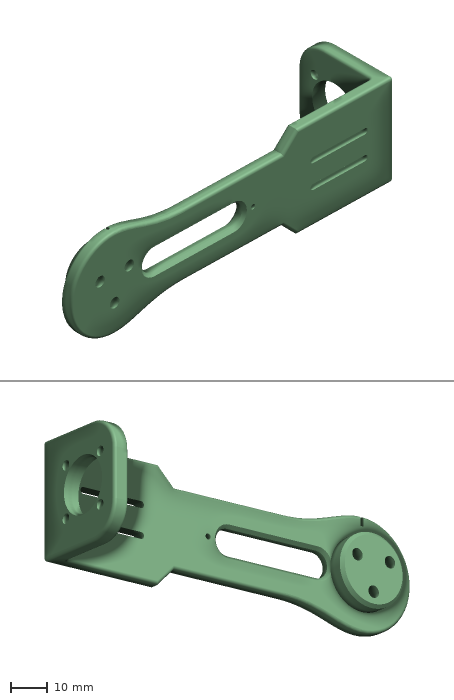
import cadquery as cq
import math


arm_thickness = 4.0
head_radius = 17.0
head_to_back = 107.6
wide_height = 35.0
wide_length = 37.1
neck_height = 23.8
neck_end = 80.3
flare_neck_pull = 0.5
flare_head_pull = 0.3
taper_length = (wide_height - neck_height) / 2
edge_radius = 1.0
bend_radius = 1.0

flange_thickness = 5.0
flange_reach = 32.5
flange_corner_radius = 10.0
bore_diameter = 17.4
bore_offset = 18.25
screw_diameter = 3.0
screw_circle_diameter = 22.0

boss_diameter = 22.0
boss_height = 5.3
boss_chamfer = 1.0
pin_diameter = 3.6
pin_circle_radius = 6.5
pin_angles = (30, 150, 270)

strap_slot_length = 22.0
strap_slot_width = 2.0
strap_slot_start = 10.0
strap_slot_spacing = 9.0
window_length = 38.6
window_width = 8.0
window_start = 57.6
window_chamfer = 1.0
window_chamfer_angle = 45
pilot_diameter = 1.7
pilot_position = 54.2
notch_width = 1.1
notch_length = 3.0
notch_depth = 1.8

inner_face_x = -arm_thickness
back_y = head_to_back


def arm_sketch(face_x):
    """Workplane at the given X; its local axes are the part's Y and Z."""
    return cq.Workplane("YZ", origin=(face_x, 0, 0))


def make_arm():
    half_wide = wide_height / 2
    half_neck = neck_height / 2
    wide_y = back_y - wide_length
    taper_y = wide_y - taper_length
    flare_y = back_y - neck_end
    neck_handle_y = flare_y * (1 - flare_neck_pull)
    head_handle_y = flare_y * flare_head_pull
    upper_flare = [
        (flare_y, half_neck),
        (neck_handle_y, half_neck),
        (head_handle_y, head_radius),
        (0, head_radius),
    ]
    lower_flare = [(y, -z) for y, z in reversed(upper_flare)]
    return (
        arm_sketch(inner_face_x)
        .moveTo(back_y, half_wide)
        .lineTo(wide_y, half_wide)
        .lineTo(taper_y, half_neck)
        .lineTo(flare_y, half_neck)
        .bezier(upper_flare)
        .threePointArc((-head_radius, 0), (0, -head_radius))
        .bezier(lower_flare)
        .lineTo(taper_y, -half_neck)
        .lineTo(wide_y, -half_wide)
        .lineTo(back_y, -half_wide)
        .close()
        .extrude(arm_thickness)
    )


def make_flange():
    return (
        cq.Workplane("XY")
        .box(flange_reach, flange_thickness, wide_height)
        .translate((-flange_reach / 2, back_y - flange_thickness / 2, 0))
        .edges("|Y and <X")
        .fillet(flange_corner_radius)
    )


def make_body():
    """Arm and flange joined, with a rounded bend and a rounded rim on both sides."""
    body = make_arm().union(make_flange())
    inner_bend = cq.selectors.NearestToPointSelector((inner_face_x, back_y - flange_thickness, 0))
    body = body.edges(inner_bend).fillet(bend_radius)
    inner_arm_face = cq.selectors.NearestToPointSelector((inner_face_x, back_y - neck_end, 0))
    outer_edges = body.faces(">X or >Y").edges()
    inner_edges = body.faces(inner_arm_face).edges("not |Z")
    return outer_edges.add(inner_edges).fillet(edge_radius)


def make_boss():
    return (
        arm_sketch(inner_face_x)
        .circle(boss_diameter / 2)
        .extrude(-boss_height)
        .faces("<X")
        .chamfer(boss_chamfer)
    )


def pin_holes():
    points = []
    for angle in pin_angles:
        turn = math.radians(angle)
        points.append((pin_circle_radius * math.cos(turn), pin_circle_radius * math.sin(turn)))
    return (
        arm_sketch(inner_face_x - boss_height)
        .pushPoints(points)
        .circle(pin_diameter / 2)
        .extrude(boss_height + arm_thickness)
    )


def strap_slots():
    center_y = back_y - strap_slot_start - strap_slot_length / 2
    half_spacing = strap_slot_spacing / 2
    return (
        arm_sketch(inner_face_x)
        .pushPoints([(center_y, half_spacing), (center_y, -half_spacing)])
        .slot2D(strap_slot_length, strap_slot_width)
        .extrude(arm_thickness)
    )


def window():
    """Long opening in the neck, chamfered on both faces of the arm."""
    center_y = back_y - window_start - window_length / 2
    flared_length = window_length + 2 * window_chamfer
    flared_width = window_width + 2 * window_chamfer
    opening = (
        arm_sketch(inner_face_x)
        .center(center_y, 0)
        .slot2D(window_length, window_width)
        .extrude(arm_thickness)
    )
    for face_x, depth in ((inner_face_x, window_chamfer), (0, -window_chamfer)):
        flare = (
            arm_sketch(face_x)
            .center(center_y, 0)
            .slot2D(flared_length, flared_width)
            .extrude(depth, taper=window_chamfer_angle)
        )
        opening = opening.union(flare)
    return opening


def pilot_hole():
    return (
        arm_sketch(inner_face_x)
        .center(back_y - pilot_position, 0)
        .circle(pilot_diameter / 2)
        .extrude(arm_thickness)
    )


def index_notch():
    """Round-bottomed notch in the inner face at the top of the head."""
    radius = notch_width / 2
    bottom_x = inner_face_x + notch_depth
    return (
        cq.Workplane("XY", origin=(0, 0, head_radius - notch_length))
        .moveTo(inner_face_x, radius)
        .lineTo(bottom_x - radius, radius)
        .threePointArc((bottom_x, 0), (bottom_x - radius, -radius))
        .lineTo(inner_face_x, -radius)
        .close()
        .extrude(notch_length)
    )


def flange_holes():
    """Bore with four screw holes on the diagonals."""
    screw_spacing = screw_circle_diameter / math.sqrt(2)
    sketch = cq.Workplane("XZ", origin=(-bore_offset, back_y, 0))
    bore = sketch.circle(bore_diameter / 2).extrude(flange_thickness)
    screws = (
        sketch.rect(screw_spacing, screw_spacing, forConstruction=True)
        .vertices()
        .circle(screw_diameter / 2)
        .extrude(flange_thickness)
    )
    return bore.union(screws)


result = (
    make_body()
    .cut(strap_slots())
    .cut(window())
    .cut(pilot_hole())
    .cut(index_notch())
    .cut(flange_holes())
    .union(make_boss())
    .cut(pin_holes())
)